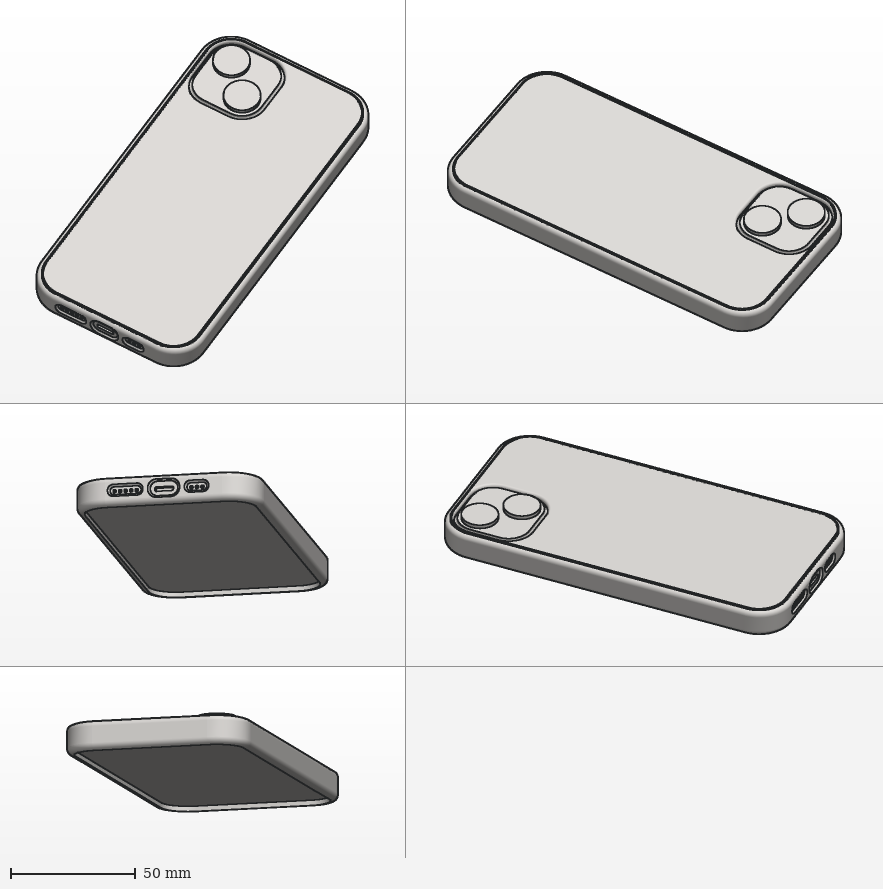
import cadquery as cq
case_width = 76.1
case_length = 151.3
rim_height = 11.7
panel_top = 12.0
corner_radius = 14.0
back_edge_radius = 2.1
front_edge_radius = 2.5

wall = 0.9
phone_bottom = 2.1
phone_thickness = 7.7
phone_back = phone_bottom + phone_thickness
screen_inset = 3.0

groove_inset = 2.1
groove_width = 0.6
groove_depth = 0.6
panel_inset = groove_inset + groove_width

lens_diameter = 15.0
lens_top = 13.3
lens_spacing = 12.7
island_top = 11.7
island_corner_radius = 9.1
island_base_radius = 1.4
window_edge_radius = 1.2
window_corner_radius = island_corner_radius + island_base_radius
upper_lens_x = -23.9
upper_lens_y = 61.6
lens_centers = [
    (upper_lens_x, upper_lens_y),
    (upper_lens_x + lens_spacing, upper_lens_y - lens_spacing),
]
island_center_x = upper_lens_x + lens_spacing / 2
island_center_y = upper_lens_y - lens_spacing / 2

opening_z = 6.2
left_speaker_x = -15.7
right_speaker_x = 13.5
speaker_opening_height = 5.0
charging_opening_length = 13.2
charging_opening_height = 7.7
openings = [
    (left_speaker_x, 14.5, speaker_opening_height),
    (0, charging_opening_length, charging_opening_height),
    (right_speaker_x, 10.0, speaker_opening_height),
]

port_z = phone_bottom + phone_thickness / 2
port_depth = 2.3
speaker_hole_diameter = 1.25
speaker_hole_spacing = 2.3
speaker_rows = [(left_speaker_x, 5), (right_speaker_x, 3)]
charging_port_length = 7.7
charging_port_height = 1.8

case_end_y = -case_length / 2
phone_end_y = case_end_y + wall


def inset_slab(inset, bottom, top):
    """Slab with the case outline moved inward by `inset`, between two heights."""
    return (
        cq.Workplane("XY", origin=(0, 0, bottom))
        .rect(case_width - 2 * inset, case_length - 2 * inset)
        .extrude(top - bottom)
        .edges("|Z")
        .fillet(corner_radius - inset)
    )


def camera_block(radius, bottom, top):
    """Rounded square block around the lenses; its corner arcs share fixed centers."""
    side = lens_spacing + 2 * radius
    return (
        cq.Workplane("XY", origin=(island_center_x, island_center_y, bottom))
        .rect(side, side)
        .extrude(top - bottom)
        .edges("|Z")
        .fillet(radius)
    )


def fillet_inner_edge(body, face, radius):
    """Round the edges where a window or an island interrupts a flat face of the body."""
    inner_edges = face.val().innerWires()[0].Edges()
    return cq.Workplane(body.val().fillet(radius, inner_edges))


def end_plane(x, y, z):
    """Workplane on the bottom end, with local x along X, local y along Z, normal along -Y."""
    return cq.Workplane("XZ", origin=(x, y, z))


def tapered_opening(x, length, height):
    """Slot through the end wall that narrows at 45 degrees toward the phone."""
    return (
        end_plane(x, case_end_y, opening_z)
        .slot2D(length, height)
        .workplane(offset=-wall)
        .slot2D(length - 2 * wall, height - 2 * wall)
        .loft(ruled=True)
    )


def make_back_panel():
    """Back wall of the case, with a camera window that has a rounded outer edge."""
    panel = inset_slab(0, phone_back, panel_top)
    panel = panel.cut(camera_block(window_corner_radius, phone_back, panel_top))
    panel = fillet_inner_edge(panel, panel.faces(">Z"), window_edge_radius)
    return panel.intersect(inset_slab(panel_inset, phone_back, panel_top))


def make_case():
    case = inset_slab(0, 0, rim_height)
    case = case.faces(">Z").edges().fillet(back_edge_radius)
    case = case.faces("<Z").edges().fillet(front_edge_radius)

    case = case.cut(inset_slab(groove_inset, rim_height - groove_depth, rim_height))
    case = case.cut(inset_slab(panel_inset, phone_back, rim_height))
    case = case.union(make_back_panel())

    case = case.cut(inset_slab(wall, phone_bottom, phone_back))
    case = case.cut(inset_slab(screen_inset, 0, phone_bottom))

    for x, length, height in openings:
        case = case.cut(tapered_opening(x, length, height))
    return case


def make_phone():
    phone = inset_slab(wall, phone_bottom, phone_back)

    phone = phone.union(camera_block(island_corner_radius, phone_back, island_top))
    back_face = phone.faces("+Z").faces("<Z")
    phone = fillet_inner_edge(phone, back_face, island_base_radius)

    lenses = (
        cq.Workplane("XY", origin=(0, 0, island_top))
        .pushPoints(lens_centers)
        .circle(lens_diameter / 2)
        .extrude(lens_top - island_top)
    )
    phone = phone.union(lenses)

    for x, count in speaker_rows:
        holes = (
            end_plane(x, phone_end_y, port_z)
            .rarray(speaker_hole_spacing, 1.5, count, 1)
            .circle(speaker_hole_diameter / 2)
            .extrude(-port_depth)
        )
        phone = phone.cut(holes)

    charging_port = (
        end_plane(0, phone_end_y, port_z)
        .slot2D(charging_port_length, charging_port_height)
        .extrude(-port_depth)
    )
    return phone.cut(charging_port)


case = make_case().solids()
phone = make_phone().solids()

result = cq.Compound.makeCompound([case.val(), phone.val()])